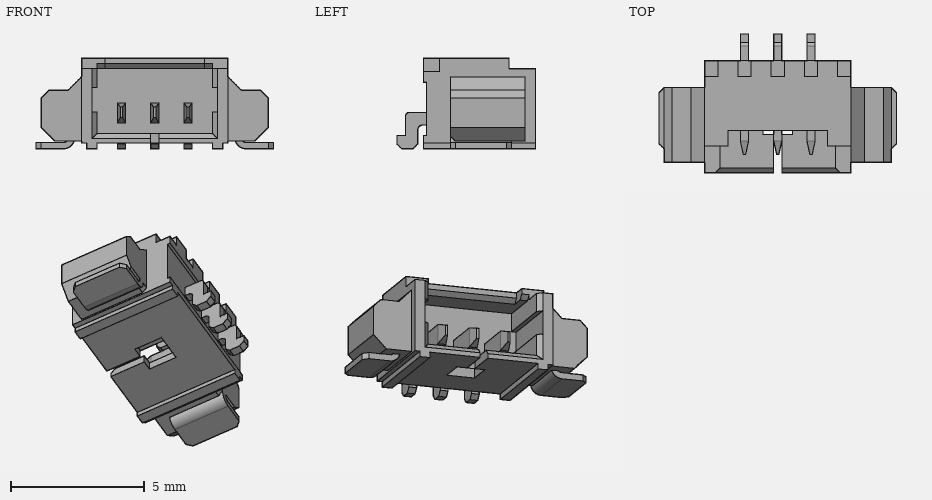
import cadquery as cq
import math

overall_width = 8.9
overall_depth = 5.2
overall_height = 3.4

diagonal = math.sqrt(0.5)

pin_count = 3
pitch = 1.25
notch_width = 0.5

body_width = (pin_count + 1) * pitch + notch_width
body_depth = 4.2
body_bottom = 0.21
rim_height = 3.0
roof_front = 1.0
notch_depth = 0.6
notch_height = 0.5
back_recess = 0.11
back_recess_bottom = 0.51
back_recess_top = 2.49
rail_inner = 2.15
rail_outer = 2.545

cavity_half_width = rail_inner
cavity_floor = 0.58
cavity_depth = 2.955
mouth_chamfer = 0.19
groove_bottom = 1.39
groove_top = 2.3
roof_cutout_half_width = 1.86
roof_cutout_depth = 1.58
key_slot_width = 0.3
window_width = 1.1
window_front = 1.44
window_back = 2.58

wing_front = 0.39
wing_back = 3.195
wing_half_span = 4.25
wing_bottom = 0.29
wing_top = 2.2
wing_lower_bevel = 0.51
wing_upper_bevel = 0.29
wing_root_bevel = 0.5
wing_corner_bevel = 0.18

nail_thickness = 0.24
nail_front = 0.9
nail_tip_chamfer = 0.2
nail_bend_radius = 0.18
nail_bend_x = 3.42
nail_top = 1.07

pin_width = 0.31
pin_bottom = 0.96
pin_top = 1.71
pin_tip_y = 0.69
pin_taper_length = 0.5
pin_tip_width = 0.09
pin_tip_bottom = 1.17
pin_tip_top = 1.57
tail_top = 1.36
tail_thickness = 0.47
tail_heel_y = 4.88
tail_heel_radius = 0.13
tail_foot_height = 0.51
tail_foot_chamfer = 0.19
tail_bend_radius = 0.18


def box(x0, x1, y0, y1, z0, z1):
    """Axis-aligned block between two opposite corners."""
    return cq.Workplane("XY").box(x1 - x0, y1 - y0, z1 - z0, centered=False).translate((x0, y0, z0))


def centered_box(width, y0, y1, z0, z1):
    """Block that is symmetric about X = 0."""
    return box(-width / 2, width / 2, y0, y1, z0, z1)


def both_sides(solid):
    """The solid together with its mirror image across X = 0."""
    return solid.union(solid.mirror("YZ"))


def housing_shell():
    side_profile = [
        (0, body_bottom),
        (body_depth, body_bottom),
        (body_depth, back_recess_bottom),
        (body_depth - back_recess, back_recess_bottom),
        (body_depth - back_recess, back_recess_top),
        (body_depth, back_recess_top),
        (body_depth, overall_height),
        (roof_front, overall_height),
        (roof_front, rim_height),
        (0, rim_height),
    ]
    shell = cq.Workplane("YZ").polyline(side_profile).close().extrude(body_width / 2, both=True)
    rail = box(rail_inner, rail_outer, 0, body_depth, 0, body_bottom)
    return shell.union(both_sides(rail))


def rear_notches():
    """Notches in the top rear edge: one over each pin and one at each corner."""
    notches = cq.Workplane("XY")
    for index in range(pin_count + 2):
        x = (index - (pin_count + 1) / 2) * pitch
        notch = centered_box(notch_width, body_depth - notch_depth, body_depth,
                             overall_height - notch_height, overall_height)
        notches = notches.add(notch.translate((x, 0, 0)))
    return notches.combine()


def roof_lip_relief(half_width, front):
    """Wedge that bevels the underside of the roof behind a front edge."""
    wedge = [
        (front, rim_height),
        (front, rim_height + mouth_chamfer),
        (front + mouth_chamfer, rim_height),
    ]
    return cq.Workplane("YZ").polyline(wedge).close().extrude(half_width, both=True)


def mating_cavity():
    groove_width = 2 * (cavity_half_width + mouth_chamfer)
    chamber = centered_box(2 * cavity_half_width, 0, cavity_depth, cavity_floor, rim_height)
    grooves = centered_box(groove_width, 0, cavity_depth, groove_bottom, groove_top)

    mouth_bottom = cavity_floor - mouth_chamfer
    mouth_height = overall_height - mouth_bottom
    mouth = (
        cq.Workplane("XZ", origin=(0, 0, mouth_bottom + mouth_height / 2))
        .rect(groove_width, mouth_height)
        .extrude(-mouth_chamfer, taper=45)
    )

    roof_cutout = centered_box(2 * roof_cutout_half_width, 0, roof_cutout_depth,
                               rim_height, overall_height)
    key_slot = centered_box(key_slot_width, 0, window_front, 0, cavity_floor)
    window = centered_box(window_width, window_front, window_back, 0, cavity_floor)
    return (
        chamber.union(grooves)
        .union(mouth)
        .union(roof_lip_relief(cavity_half_width, roof_front))
        .union(roof_cutout)
        .union(roof_lip_relief(roof_cutout_half_width, roof_cutout_depth))
        .union(key_slot)
        .union(window)
    )


def wing():
    """Wing on the +X side, with its lower rear edge bevelled."""
    profile = [
        (body_width / 2, wing_bottom),
        (wing_half_span - wing_lower_bevel, wing_bottom),
        (wing_half_span, wing_bottom + wing_lower_bevel),
        (wing_half_span, wing_top - wing_upper_bevel),
        (wing_half_span - wing_upper_bevel, wing_top),
        (body_width / 2 + wing_root_bevel, wing_top),
        (body_width / 2, wing_top + wing_root_bevel),
    ]
    block = (
        cq.Workplane("XZ", origin=(0, wing_front, 0))
        .polyline(profile).close()
        .extrude(wing_front - wing_back)
    )
    corner = [
        (wing_back, wing_bottom),
        (wing_back - wing_corner_bevel, wing_bottom),
        (wing_back, wing_bottom + wing_corner_bevel),
    ]
    bevel = cq.Workplane("YZ").polyline(corner).close().extrude(wing_half_span)
    return block.cut(bevel)


def nail():
    """L-shaped solder nail on the +X side: a flat foot bent up into the wing."""
    outer_radius = nail_bend_radius + nail_thickness
    bend_z = outer_radius
    strip_inner_x = nail_bend_x - outer_radius
    strip_outer_x = nail_bend_x - nail_bend_radius
    strip = (
        cq.Workplane("XZ", origin=(0, nail_front, 0))
        .moveTo(overall_width / 2, 0)
        .lineTo(nail_bend_x, 0)
        .threePointArc(
            (nail_bend_x - outer_radius * diagonal, bend_z - outer_radius * diagonal),
            (strip_inner_x, bend_z))
        .lineTo(strip_inner_x, nail_top)
        .lineTo(strip_outer_x, nail_top)
        .lineTo(strip_outer_x, bend_z)
        .threePointArc(
            (nail_bend_x - nail_bend_radius * diagonal, bend_z - nail_bend_radius * diagonal),
            (nail_bend_x, nail_thickness))
        .lineTo(overall_width / 2, nail_thickness)
        .close()
        .extrude(nail_front - wing_back)
    )
    return strip.faces(">X").edges("|Z").chamfer(nail_tip_chamfer)


def pin():
    """One contact: tapered blade in the cavity, gull-wing tail behind the housing."""
    blade_front = pin_tip_y + pin_taper_length
    blade_height = pin_top - pin_bottom
    blade_center = (pin_top + pin_bottom) / 2
    tip_center = (pin_tip_top + pin_tip_bottom) / 2
    blade = centered_box(pin_width, blade_front, cavity_depth, pin_bottom, pin_top)
    tip = (
        cq.Workplane("XZ", origin=(0, blade_front, blade_center))
        .rect(pin_width, blade_height)
        .workplane(offset=pin_taper_length)
        .center(0, tip_center - blade_center)
        .rect(pin_tip_width, pin_tip_top - pin_tip_bottom)
        .loft(ruled=True)
    )

    tail_root_y = body_depth - notch_depth
    tail_inner_y = tail_heel_y - tail_thickness
    tail_bottom = tail_top - tail_thickness
    tail = (
        cq.Workplane("YZ")
        .moveTo(tail_root_y, tail_top)
        .lineTo(tail_heel_y - tail_heel_radius, tail_top)
        .threePointArc(
            (tail_heel_y - tail_heel_radius * (1 - diagonal),
             tail_top - tail_heel_radius * (1 - diagonal)),
            (tail_heel_y, tail_top - tail_heel_radius))
        .lineTo(tail_heel_y, tail_foot_height)
        .lineTo(overall_depth, tail_foot_height)
        .lineTo(overall_depth, tail_foot_chamfer)
        .lineTo(overall_depth - tail_foot_chamfer, 0)
        .lineTo(tail_inner_y + tail_foot_chamfer, 0)
        .lineTo(tail_inner_y, tail_foot_chamfer)
        .lineTo(tail_inner_y, tail_bottom - tail_bend_radius)
        .threePointArc(
            (tail_inner_y - tail_bend_radius * (1 - diagonal),
             tail_bottom - tail_bend_radius * (1 - diagonal)),
            (tail_inner_y - tail_bend_radius, tail_bottom))
        .lineTo(tail_root_y, tail_bottom)
        .close()
        .extrude(pin_width / 2, both=True)
    )
    return blade.union(tip).union(tail)


result = housing_shell().cut(rear_notches()).cut(mating_cavity())
result = result.union(both_sides(wing())).union(both_sides(nail()))
for index in range(pin_count):
    pin_x = (index - (pin_count - 1) / 2) * pitch
    result = result.union(pin().translate((pin_x, 0, 0)))